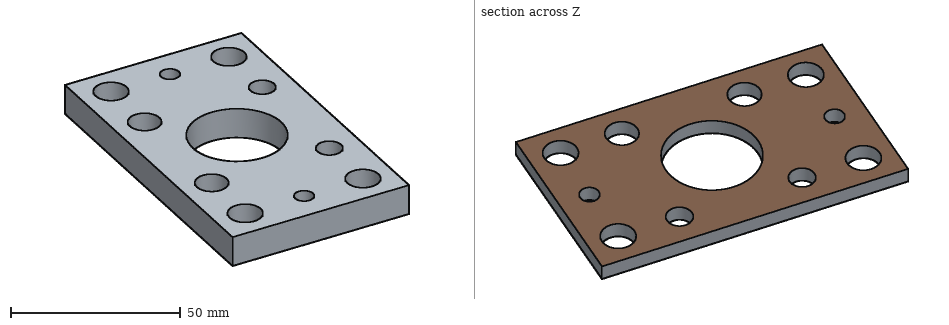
import cadquery as cq

length = 100.0
width = 60.0
thickness = 10.0

bore_diameter = 30.0
corner_diameter = 10.5
front_diameter = 10.0
back_diameter = 8.0
end_diameter = 6.0

edge_distance = 10.0
outer_x = length / 2 - edge_distance
inner_x = outer_x / 2
row_y = width / 2 - edge_distance


def mirrored_pair(x, y):
    """Two points placed symmetrically about the YZ plane."""
    return [(-x, y), (x, y)]


def drill(plate, points, diameter):
    """Cut through holes at the given points of the top face."""
    return plate.faces(">Z").workplane(origin=(0, 0, 0)).pushPoints(points).hole(diameter)


result = cq.Workplane("XY").box(length, width, thickness)
result = drill(result, [(0, 0)], bore_diameter)
result = drill(result, mirrored_pair(outer_x, row_y) + mirrored_pair(outer_x, -row_y), corner_diameter)
result = drill(result, mirrored_pair(inner_x, -row_y), front_diameter)
result = drill(result, mirrored_pair(inner_x, row_y), back_diameter)
result = drill(result, mirrored_pair(outer_x, 0), end_diameter)